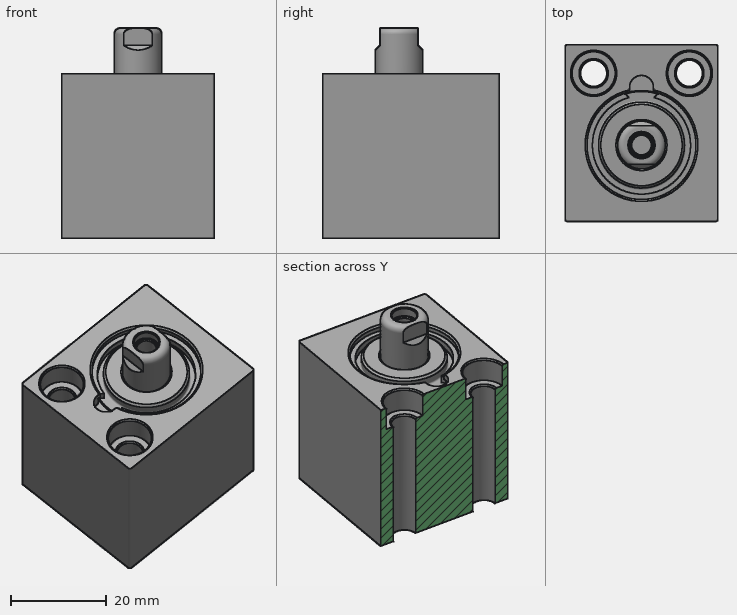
import cadquery as cq
import math

width = 32.0
depth = 37.0
total_height = 44.0
block_height = 34.4
corner_radius = 0.5

axis_y = -2.5
bore_diameter = 22.8
bore_chamfer = 0.4
bore_depth = 7.9

hole_spacing = 20.0
hole_y = 12.5
hole_diameter = 5.5
hole_chamfer = 0.3
counterbore_diameter = 9.0
counterbore_depth = 5.32
counterbore_chamfer = 0.3

notch_width = 5.0
notch_center = 12.05
notch_depth = 2.95

flange_depth = notch_depth
flange_chamfer = 0.18
rim_inner_diameter = 20.55
rim_outer_diameter = 24.2
rim_depth = 1.35
gap_inner_width = 5.25
gap_flare_angle = 45.0
boss_diameter = 18.0
boss_depth = 0.65
boss_chamfer = 0.5
boss_fillet = 0.4
cover_bore_chamfer = 0.35

rod_diameter = 10.0
rod_fillet = 1.3
flats_width = 8.0
flats_height = 3.65
socket_diameter = 5.25
socket_chamfer = 0.2
socket_depth = 2.02
core_diameter = 4.15
core_chamfer = 0.25
core_depth = 6.6

bore_floor = block_height - bore_depth
flange_top = block_height - flange_depth
rim_top = block_height - rim_depth
boss_top = block_height - boss_depth


def cylinder(diameter, bottom, top):
    """Vertical cylinder on the rod axis."""
    return (
        cq.Workplane("XY", origin=(0, axis_y, bottom))
        .circle(diameter / 2)
        .extrude(top - bottom)
    )


def countersink(x, y, z, diameter, chamfer):
    """45 degree cone, narrowing downward, that chamfers the upper edge of a hole."""
    large_radius = diameter / 2 + chamfer
    small_radius = diameter / 2
    cone = cq.Solid.makeCone(small_radius, large_radius, chamfer, pnt=cq.Vector(x, y, z - chamfer))
    return cq.Workplane(obj=cone)


def make_notch():
    """Round-ended notch that opens into the bore."""
    notch_y = axis_y + notch_center
    plane = cq.Workplane("XY", origin=(0, notch_y, block_height - notch_depth))
    round_end = plane.circle(notch_width / 2).extrude(notch_depth)
    channel = (
        plane.center(0, -notch_center / 2)
        .rect(notch_width, notch_center)
        .extrude(notch_depth)
    )
    return round_end.union(channel)


def make_housing():
    block = cq.Workplane("XY").box(width, depth, block_height, centered=(True, True, False))
    block = block.edges("|Z").fillet(corner_radius)
    block = block.cut(cylinder(bore_diameter, bore_floor, block_height))
    block = block.cut(countersink(0, axis_y, block_height, bore_diameter, bore_chamfer))
    block = block.cut(make_notch())
    block = block.cut(cylinder(rim_outer_diameter, flange_top, rim_top))

    shoulder = block_height - counterbore_depth
    for x in (-hole_spacing / 2, hole_spacing / 2):
        through = cq.Workplane("XY", origin=(x, hole_y, 0)).circle(hole_diameter / 2).extrude(block_height)
        counterbore = (
            cq.Workplane("XY", origin=(x, hole_y, shoulder))
            .circle(counterbore_diameter / 2)
            .extrude(counterbore_depth)
        )
        block = block.cut(through).cut(counterbore)
        block = block.cut(countersink(x, hole_y, block_height, counterbore_diameter, counterbore_chamfer))
        block = block.cut(countersink(x, hole_y, shoulder, hole_diameter, hole_chamfer))
    return block


def make_rim():
    """Raised rim that reaches into the bore wall; its gap beside the notch flares outward."""
    rim = cylinder(rim_outer_diameter, flange_top, rim_top)
    rim = rim.cut(cylinder(rim_inner_diameter, flange_top, rim_top))
    inner_half = gap_inner_width / 2
    inner_y = math.sqrt((rim_inner_diameter / 2) ** 2 - inner_half ** 2)
    outer_y = rim_outer_diameter / 2
    outer_half = inner_half + (outer_y - inner_y) * math.tan(math.radians(gap_flare_angle))
    gap = (
        cq.Workplane("XY", origin=(0, axis_y, flange_top))
        .moveTo(-inner_half, 0)
        .lineTo(inner_half, 0)
        .lineTo(inner_half, inner_y)
        .lineTo(outer_half, outer_y)
        .lineTo(-outer_half, outer_y)
        .lineTo(-inner_half, inner_y)
        .close()
        .extrude(rim_top - flange_top)
    )
    return rim.cut(gap)


def make_cover():
    cover = cylinder(bore_diameter, bore_floor, flange_top)
    cover = cover.faces(">Z").edges().chamfer(flange_chamfer)
    boss = cylinder(boss_diameter, flange_top, boss_top)
    boss = boss.faces(">Z").edges().chamfer(boss_chamfer)

    boss_radius = boss_diameter / 2
    middle_offset = boss_fillet * (1 - math.sqrt(0.5))
    root = (
        cq.Workplane("XZ", origin=(0, axis_y, flange_top))
        .moveTo(boss_radius, 0)
        .lineTo(boss_radius + boss_fillet, 0)
        .threePointArc((boss_radius + middle_offset, middle_offset), (boss_radius, boss_fillet))
        .close()
        .revolve(360, (0, 0, 0), (0, 1, 0))
    )
    cover = cover.union(boss).union(root)
    cover = cover.union(make_rim())
    cover = cover.cut(cylinder(rod_diameter, bore_floor, boss_top))
    return cover.cut(countersink(0, axis_y, boss_top, rod_diameter, cover_bore_chamfer))


def make_rod():
    rod = cylinder(rod_diameter, bore_floor, total_height)
    rod = rod.faces(">Z").edges().fillet(rod_fillet)

    flat_bottom = total_height - flats_height
    flat_y = flats_width / 2
    outside_y = rod_diameter / 2
    for side in (-1, 1):
        flat = (
            cq.Workplane("YZ", origin=(-outside_y, axis_y, 0))
            .moveTo(side * flat_y, total_height)
            .lineTo(side * flat_y, flat_bottom)
            .lineTo(side * outside_y, flat_bottom - (outside_y - flat_y))
            .lineTo(side * outside_y, total_height)
            .close()
            .extrude(rod_diameter)
        )
        rod = rod.cut(flat)

    socket_floor = total_height - socket_depth
    rod = rod.cut(cylinder(socket_diameter, socket_floor, total_height))
    rod = rod.cut(countersink(0, axis_y, total_height, socket_diameter, socket_chamfer))
    rod = rod.cut(cylinder(core_diameter, total_height - core_depth, socket_floor))
    return rod.cut(countersink(0, axis_y, socket_floor, core_diameter, core_chamfer))


housing = make_housing()
cover = make_cover()
rod = make_rod()

result = cq.Compound.makeCompound([housing.val(), cover.val(), rod.val()])